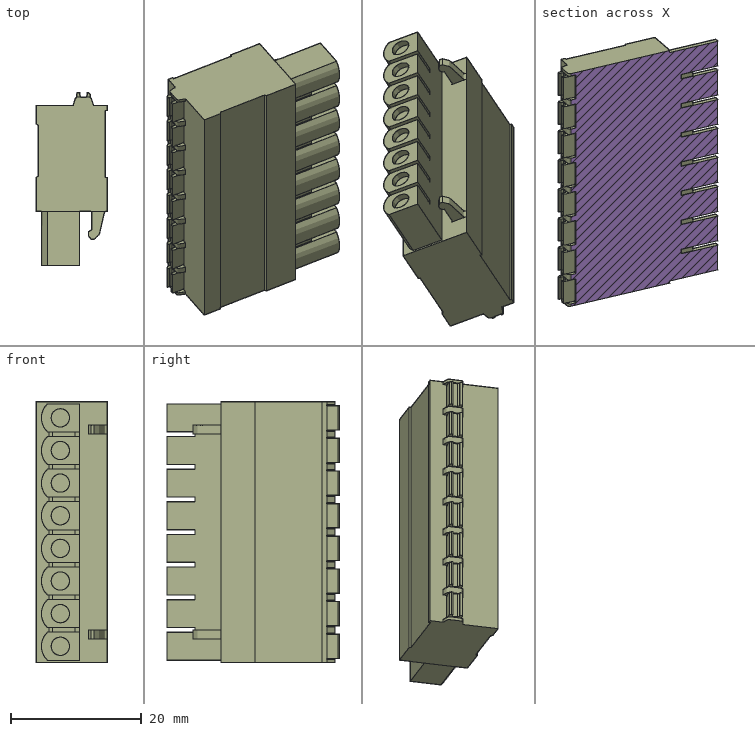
import cadquery as cq
import math

pole_count = 8
pitch = 5.0
body_width = 10.9
body_depth = 16.25
overall_length = 26.5
body_height = pole_count * pitch

recess_depth = 0.28
recess_end_run = 0.2
recess_front_y = 5.2
left_recess_back_y = body_depth - 2.85
right_recess_back_y = body_depth - 0.8

socket_length = 8.3
socket_height = 4.3
socket_radius = 2.9
socket_center_x = 3.7
socket_right_x = 6.65
hole_diameter = 2.8
hole_depth = 1.0

web_length = 4.0
web_left_x = 1.95
channel_left_x = 2.5
channel_right_x = 5.95
channel_depth = 2.0

latch_height = 1.4
latch_inset = 3.6
latch_length = 4.3
latch_arm_left_x = 8.5
latch_arm_right_x = 10.5
latch_hook_x = 7.98
latch_hook_front_y = -3.75
latch_hook_back_y = -3.15
latch_neck_y = -2.8
latch_tip_left_x = 8.43
latch_tip_right_x = 8.87
latch_knee = (9.71, -3.48)
latch_left_root_radius = 0.2
latch_right_root_radius = 0.3
latch_knee_radius = 0.5
latch_base_left_x = 8.0
latch_base_depth = 0.5

ridge_left_x = 5.65
ridge_right_x = 8.8
ridge_height = 1.25
ridge_slope_run = 0.4
ridge_crest_radius = 0.4
ridge_slot_height = 4.05

tab_left_x = 6.2
tab_right_x = 8.3
tab_projection = overall_length - body_depth - socket_length
tab_height = 3.75
tab_bevel = 0.28
tab_left_bevel_run = 0.07
prong_width = 0.5
fork_flare = 0.15
fork_flare_height = 0.35

pole_levels = [pitch * (index + 0.5) for index in range(pole_count)]


def prism(points, bottom_z, height):
    """Extrude a closed XY polygon upward from bottom_z."""
    return cq.Workplane("XY").workplane(offset=bottom_z).polyline(points).close().extrude(height)


def block(x_start, x_end, y_start, y_end, bottom_z, height):
    """Box given by its X and Y limits, standing on bottom_z."""
    corners = [(x_start, y_start), (x_end, y_start), (x_end, y_end), (x_start, y_end)]
    return prism(corners, bottom_z, height)


def make_body():
    """Rectangular body with a shallow recess along each long side."""
    body = block(0, body_width, 0, body_depth, 0, body_height)
    left_outline = [
        (0, recess_front_y),
        (recess_depth, recess_front_y + recess_end_run),
        (recess_depth, left_recess_back_y - recess_end_run),
        (0, left_recess_back_y),
    ]
    left = prism(left_outline, 0, body_height)
    right_floor_x = body_width - recess_depth
    right = block(right_floor_x, body_width, recess_front_y, right_recess_back_y, 0, body_height)
    return body.cut(left).cut(right)


def make_socket(center_z):
    """D-shaped socket with an arc on its left side."""
    half_height = socket_height / 2
    arc_end_x = socket_center_x - math.sqrt(socket_radius**2 - half_height**2)
    return (
        cq.Workplane("XZ")
        .moveTo(arc_end_x, center_z - half_height)
        .lineTo(socket_right_x, center_z - half_height)
        .lineTo(socket_right_x, center_z + half_height)
        .lineTo(arc_end_x, center_z + half_height)
        .threePointArc(
            (socket_center_x - socket_radius, center_z),
            (arc_end_x, center_z - half_height),
        )
        .close()
        .extrude(socket_length)
    )


def make_socket_hole(center_z):
    """Shallow round blind hole in the end of a socket."""
    return (
        cq.Workplane("XZ", origin=(0, -socket_length, 0))
        .center(socket_center_x, center_z)
        .circle(hole_diameter / 2)
        .extrude(-hole_depth)
    )


def make_web(center_z):
    """Channelled web filling the gap between two sockets."""
    height = pitch - socket_height
    bottom_z = center_z - height / 2
    web = block(web_left_x, socket_right_x, -web_length, 0, bottom_z, height)
    channel_end_y = channel_depth - web_length
    channel = block(channel_left_x, channel_right_x, -web_length, channel_end_y, bottom_z, height)
    return web.cut(channel)


def make_latch(bottom_z):
    """Tapered hook pointing toward the sockets, its base sunk into the body."""
    root_left = (latch_arm_left_x, 0)
    root_right = (latch_arm_right_x, 0)
    outline = [
        (latch_base_left_x, 0),
        root_left,
        (latch_arm_left_x, latch_neck_y),
        (latch_hook_x, latch_hook_back_y),
        (latch_hook_x, latch_hook_front_y),
        (latch_tip_left_x, -latch_length),
        (latch_tip_right_x, -latch_length),
        latch_knee,
        root_right,
        (body_width, 0),
        (body_width, latch_base_depth),
        (latch_base_left_x, latch_base_depth),
    ]
    latch = prism(outline, bottom_z, latch_height)
    rounded_corners = [
        (root_left, latch_left_root_radius),
        (root_right, latch_right_root_radius),
        (latch_knee, latch_knee_radius),
    ]
    for (corner_x, corner_y), radius in rounded_corners:
        middle = (corner_x, corner_y, bottom_z + latch_height / 2)
        latch = latch.edges(cq.selectors.NearestToPointSelector(middle)).fillet(radius)
    return latch


def make_ridge():
    """Trapezoidal ridge with rounded crest corners, slotted at every pole."""
    crest_y = body_depth + ridge_height
    outline = [
        (ridge_left_x, body_depth),
        (ridge_left_x + ridge_slope_run, crest_y),
        (ridge_right_x - ridge_slope_run, crest_y),
        (ridge_right_x, body_depth),
    ]
    ridge = prism(outline, 0, body_height).edges("|Z and >Y").fillet(ridge_crest_radius)
    for center_z in pole_levels:
        bottom_z = center_z - ridge_slot_height / 2
        slot = block(ridge_left_x, ridge_right_x, body_depth, crest_y, bottom_z, ridge_slot_height)
        ridge = ridge.cut(slot)
    return ridge


def make_tab(center_z):
    """Release tab whose tip is forked into two bevelled prongs."""
    fork_y = body_depth + ridge_height
    flare_y = fork_y + fork_flare_height
    tip_y = body_depth + tab_projection
    bevel_y = tip_y - tab_bevel
    fork_left_x = tab_left_x + prong_width
    fork_right_x = tab_right_x - prong_width
    outline = [
        (tab_left_x, body_depth),
        (tab_left_x, bevel_y),
        (tab_left_x + tab_left_bevel_run, tip_y),
        (fork_left_x, tip_y),
        (fork_left_x, flare_y),
        (fork_left_x + fork_flare, fork_y),
        (fork_right_x - fork_flare, fork_y),
        (fork_right_x, flare_y),
        (fork_right_x, tip_y),
        (tab_right_x - tab_bevel, tip_y),
        (tab_right_x, bevel_y),
        (tab_right_x, body_depth),
    ]
    return prism(outline, center_z - tab_height / 2, tab_height)


def make_part():
    part = make_body().union(make_ridge())
    for center_z in pole_levels:
        part = part.union(make_socket(center_z)).union(make_tab(center_z))
    for index in range(1, pole_count):
        part = part.union(make_web(index * pitch))
    for bottom_z in (latch_inset, body_height - latch_inset - latch_height):
        part = part.union(make_latch(bottom_z))
    for center_z in pole_levels:
        part = part.cut(make_socket_hole(center_z))
    return part


result = make_part()